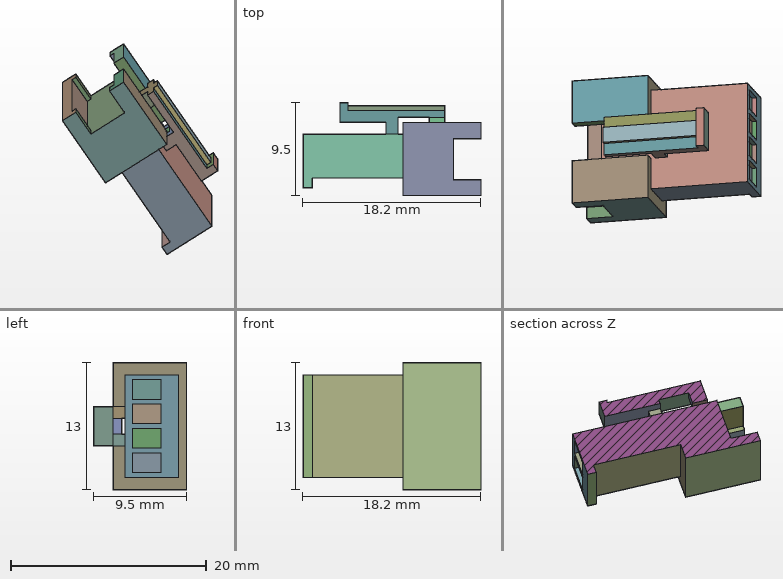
import cadquery as cq


total_length = 18.2
total_depth = 9.5

housing_length = 8.0
housing_depth = 7.5
housing_height = 13.0
housing_start = total_length - housing_length
wall = 1.2

opening_length = 2.8
opening_start = total_length - opening_length
cavity_top = housing_depth - wall
notch_bottom = 1.65
upper_notch_top = 5.83
lower_notch_top = 5.78

body_height = 10.5
body_bottom = 1.8
body_top = cavity_top
lip_length = 0.95
lip_bottom = 0.8

contact_count = 4
contact_pitch = 2.5
pocket_bottom = 2.6
pocket_width = 2.9
pocket_height = 2.0
pocket_recess = 0.5

latch_width = 4.0
latch_start = 3.77
latch_end = 14.5
grip_length = 0.83
leg_start = 8.46
leg_end = 9.72
leg_gap = 1.6
lever_bottom = housing_depth
arm_bottom = 8.0
arm_top = 8.72
ridge_top = 9.2
ridge_width = leg_gap
tooth_start = 12.88
tooth_bottom = 6.6
tooth_width = leg_gap


def block(x_min, x_max, y_min, y_max, height, z_mid=0.0):
    """Box between the given x and y limits, centred on z_mid."""
    return (
        cq.Workplane("XY")
        .box(x_max - x_min, y_max - y_min, height, centered=(False, False, True))
        .translate((x_min, y_min, z_mid))
    )


def make_housing():
    housing = block(housing_start, total_length, 0, housing_depth, housing_height)
    cavity_height = housing_height - 2 * wall
    cavity = block(opening_start, total_length, wall, cavity_top, cavity_height)
    housing = housing.cut(cavity)

    end_wall_mid = (housing_height - wall) / 2
    for side, notch_top in ((1, upper_notch_top), (-1, lower_notch_top)):
        notch = block(opening_start, total_length, notch_bottom, notch_top, wall, side * end_wall_mid)
        housing = housing.cut(notch)

    slot = block(housing_start, total_length, cavity_top, housing_depth, latch_width)
    return housing.cut(slot)


def make_body():
    body = block(0, housing_start, body_bottom, body_top, body_height)
    body = body.union(block(0, lip_length, lip_bottom, body_top, body_height))

    for index in range(contact_count):
        z_mid = (index - (contact_count - 1) / 2) * contact_pitch
        pocket = block(
            0, pocket_recess, pocket_bottom, pocket_bottom + pocket_width, pocket_height, z_mid
        )
        body = body.cut(pocket)
    return body


def make_latch():
    lever = block(latch_start, leg_end, lever_bottom, arm_top, latch_width)
    arm = block(leg_end, latch_end, arm_bottom, arm_top, latch_width)
    grip = block(latch_start, latch_start + grip_length, lever_bottom, total_depth, latch_width)
    ridge = block(latch_start, latch_end, arm_top, ridge_top, ridge_width)
    tooth = block(tooth_start, latch_end, tooth_bottom, arm_bottom, tooth_width)
    legs = block(leg_start, leg_end, body_top, lever_bottom, latch_width)
    legs = legs.cut(block(leg_start, leg_end, body_top, lever_bottom, leg_gap))
    return lever.union(arm).union(grip).union(ridge).union(tooth).union(legs)


result = make_housing().union(make_body()).union(make_latch())